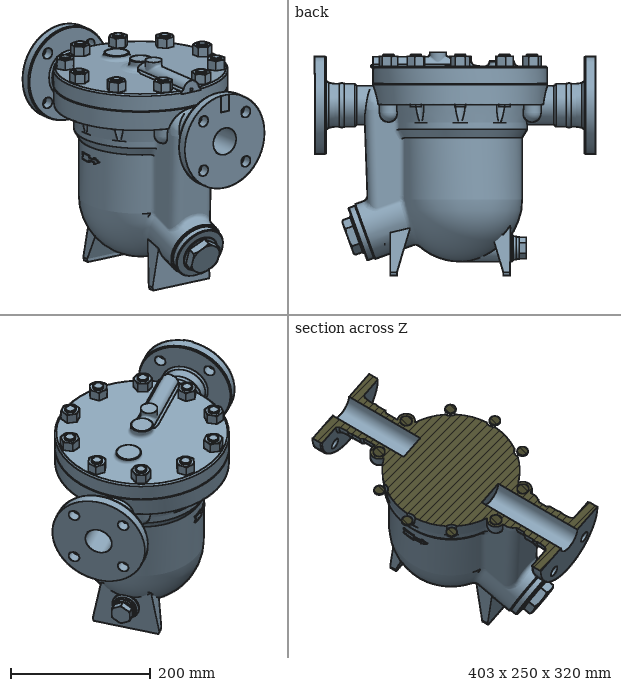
import cadquery as cq
import math


foot_edge_z = 5.0
dome_centre_z = 109.0
shoulder_low_z = 197.3
shoulder_high_z = 209.5
neck_low_z = 219.0
rim_low_z = 245.0
rim_top_z = 273.5
gasket_thickness = 1.5
gasket_diameter = 196.0
cover_low_z = rim_top_z + gasket_thickness
cover_top_z = 300.0
nozzle_z = 244.0

barrel_radius = 89.0
shoulder_radius = 96.0
neck_top_radius = 99.0
rim_radius = 125.0
rim_low_radius_x = 122.2
rim_edge_fillet = 1.5

bolt_count = 10
bolt_circle_radius = 108.0
stud_diameter = 16.0
stud_tip_diameter = 13.84
stud_low_z = rim_low_z - 3.0
stud_top_z = 317.0
nut_top_z = 314.5
nut_across_flats = 24.0
nut_corner_chamfer = 1.5
spotface_diameter = 24.0
pad_diameter = 26.0
pad_centre_z = neck_low_z + 0.8 + pad_diameter / 2

inlet_face_x = -194.0
outlet_face_x = 208.0
flange_diameter = 140.0
flange_thickness = 16.4
flange_chamfer = 2.4
flange_bolt_circle = 105.0
flange_hole_diameter = 16.0
bore_diameter = 40.0
hub_diameter = 62.0
hub_root_diameter = 70.0
neck_diameter = 64.5
pipe_diameter = 56.0
root_end = 20.0
taper_end = 28.3
weld_start = 34.7
weld_end = 42.0
weld_height = 1.0
hub_chamfer_start = 56.6
hub_end = 60.0
bore_wall = 30.0
mark_width = 14.0
mark_height = 25.0
mark_raise = 1.0

strainer_tilt = 20.0
strainer_mouth = (136.0, 0, 63.2)
strainer_diameter = 84.0
strainer_length = 110.0
strainer_fillet = 9.0
plug_seal_diameter = 78.0
plug_seal_thickness = 1.5
plug_diameter = 80.0
plug_head_end = 11.5
plug_edge_chamfer = 1.0
plug_collar_diameter = 56.0
plug_collar_end = 13.5
plug_hex_across_flats = 46.0
plug_hex_end = 26.5
plug_hex_chamfer = 3.0
plug_shank_diameter = 62.0
plug_shank_length = 20.0

riser_half_width = 35.0
riser_start_x = 60.0
riser_low_z = 70.0
riser_arch_z = 237.5
riser_end_x = 137.5
riser_draft = 2.0
riser_end_fillet = 15.0
riser_root_fillet = 8.0

drain_z = 39.6
drain_boss_diameter = 40.0
drain_boss_face_x = -76.0
drain_boss_chamfer = 2.5
drain_spigot_diameter = 34.0
drain_spigot_face_x = -80.0
drain_collar_diameter = 32.0
drain_collar_face_x = -84.3
drain_hex_across_flats = 27.0
drain_hex_face_x = -94.7
drain_hex_chamfer = 1.0
drain_shank_diameter = 24.0
drain_shank_length = 24.0

left_foot_outer_x = -71.4
right_foot_outer_x = 100.4
foot_toe = 10.0
foot_top_z = 75.0
foot_top_thickness = 30.6
foot_base_half_width = 49.0
foot_edge_half_width = 50.3
foot_top_half_width = 37.2

cover_chamfer = 2.5
centre_boss_diameter = 32.0
centre_boss_foot_diameter = 45.0
centre_boss_apron_diameter = 58.0
centre_boss_top_z = 314.0
centre_boss_foot_z = 301.0
side_boss_x = -59.5
side_boss_diameter = 36.0
side_boss_foot_diameter = 48.0
side_boss_top_z = 307.5
boss_edge_chamfer = 1.0
duct_diameter = 26.0
duct_top_z = 313.7
duct_low_z = cover_top_z - 4.0
duct_end_x = 125.0
duct_foot_width = 33.0
duct_foot_height = 3.0
duct_pip_radius = 2.0
vent_boss_x = 32.0
vent_boss_diameter = 24.0
vent_boss_top_z = 320.0
vent_boss_fillet = 3.0

arrow_z = 179.0
arrow_start_x = -21.0
arrow_tip_x = 20.5
arrow_tail_end_x = -0.8
arrow_head_x = 11.0
arrow_notch = 2.5
arrow_half_height = 5.0
arrow_shaft_half_height = 2.0
arrow_raise = 1.5


def cylinder(diameter, start, direction, length):
    """Solid cylinder from a start point along a direction."""
    return cq.Workplane(cq.Solid.makeCylinder(
        diameter / 2, length, cq.Vector(*start), cq.Vector(*direction)))


def chamfered_hex(across_flats, height, chamfer, turn=0.0):
    """Hexagonal prism on the XY plane whose top corners are turned off conically."""
    corner_diameter = across_flats / math.cos(math.pi / 6)
    corner_radius = corner_diameter / 2
    prism = (cq.Workplane("XY").polygon(6, corner_diameter).extrude(height)
             .rotate((0, 0, 0), (0, 0, 1), turn))
    envelope = (cq.Workplane("XY").circle(corner_radius).extrude(height)
                .faces(">Z").chamfer(chamfer * math.tan(math.pi / 6), chamfer))
    return prism.intersect(envelope)


def bolt_positions():
    """Angle and centre of every cover bolt, starting on the +Y axis."""
    for index in range(bolt_count):
        angle = 90 + index * 360 / bolt_count
        direction = math.radians(angle)
        yield angle, bolt_circle_radius * math.cos(direction), bolt_circle_radius * math.sin(direction)


def vessel():
    """Barrel with a hemispherical bottom, a shoulder and a neck."""
    profile = (
        cq.Workplane("XZ")
        .moveTo(0, dome_centre_z - barrel_radius)
        .threePointArc(
            (barrel_radius * math.sin(math.pi / 4), dome_centre_z - barrel_radius * math.cos(math.pi / 4)),
            (barrel_radius, dome_centre_z))
        .lineTo(barrel_radius, shoulder_low_z)
        .lineTo(shoulder_radius, shoulder_high_z)
        .lineTo(shoulder_radius, neck_low_z)
        .lineTo(neck_top_radius, rim_low_z)
        .lineTo(0, rim_low_z)
        .close()
    )
    return profile.revolve(360, (0, 0, 0), (0, 1, 0))


def rim():
    """Bolting rim that narrows along X towards its underside."""
    body = (cq.Workplane("XY", origin=(0, 0, rim_low_z))
            .ellipse(rim_low_radius_x, rim_radius)
            .workplane(offset=rim_top_z - rim_low_z)
            .circle(rim_radius).loft(combine=True))
    return body.faces("<Z").edges().fillet(rim_edge_fillet)


def nozzle(face_x, inward):
    """Flange, welded hub and pipe; the axis runs from the flange face towards the vessel."""
    chamfer_start = flange_thickness - flange_chamfer
    weld_middle = (weld_start + weld_end) / 2
    profile = (
        cq.Workplane("XZ")
        .moveTo(0, 0)
        .lineTo(flange_diameter / 2, 0)
        .lineTo(flange_diameter / 2, chamfer_start)
        .lineTo(flange_diameter / 2 - flange_chamfer / 2, flange_thickness)
        .lineTo(hub_root_diameter / 2, flange_thickness)
        .lineTo(neck_diameter / 2, root_end)
        .lineTo(hub_diameter / 2, taper_end)
        .lineTo(hub_diameter / 2, weld_start)
        .threePointArc((hub_diameter / 2 + weld_height, weld_middle), (hub_diameter / 2, weld_end))
        .lineTo(hub_diameter / 2, hub_chamfer_start)
        .lineTo(pipe_diameter / 2, hub_end)
        .lineTo(pipe_diameter / 2, abs(face_x))
        .lineTo(0, abs(face_x))
        .close()
    )
    body = profile.revolve(360, (0, 0, 0), (0, 1, 0))
    holes = (cq.Workplane("XY").polarArray(flange_bolt_circle / 2, 45, 360, 4)
             .circle(flange_hole_diameter / 2).extrude(flange_thickness))
    return (body.cut(holes)
            .rotate((0, 0, 0), (0, 1, 0), 90 * inward)
            .translate((face_x, 0, nozzle_z)))


def nozzle_bore(face_x, inward):
    """Blind flow bore that stops inside the vessel wall."""
    length = abs(face_x) - neck_top_radius + bore_wall
    return cylinder(bore_diameter, (face_x, 0, nozzle_z), (inward, 0, 0), length)


def flange_mark():
    """Raised mark at the top of the outlet flange face."""
    top_z = nozzle_z + flange_diameter / 2
    block = (cq.Workplane("XY")
             .box(mark_raise, mark_width, mark_height, centered=(False, True, False))
             .translate((outlet_face_x, 0, top_z - mark_height)))
    return block.intersect(
        cylinder(flange_diameter, (outlet_face_x, 0, nozzle_z), (1, 0, 0), mark_raise))


def strainer_direction():
    """Unit vector that points out of the strainer pocket."""
    tilt = math.radians(strainer_tilt)
    return math.cos(tilt), 0, -math.sin(tilt)


def strainer_point(distance):
    """Point on the strainer axis, measured outward from the pocket mouth."""
    return tuple(
        mouth + distance * along for mouth, along in zip(strainer_mouth, strainer_direction()))


def strainer_pocket():
    """Slanted cylinder that ends at the pocket mouth."""
    start = strainer_point(-strainer_length)
    return cylinder(strainer_diameter, start, strainer_direction(), strainer_length)


def riser():
    """Arched passage wall with a drafted and rounded outer end."""
    overlength = 10.0
    body = (
        cq.Workplane("YZ", origin=(riser_start_x, 0, 0))
        .moveTo(-riser_half_width, riser_low_z)
        .lineTo(-riser_half_width, riser_arch_z)
        .threePointArc((0, riser_arch_z + riser_half_width), (riser_half_width, riser_arch_z))
        .lineTo(riser_half_width, riser_low_z)
        .close()
        .extrude(riser_end_x + overlength - riser_start_x)
    )
    cutter_size = 400.0
    cutter = (cq.Workplane("XY")
              .box(cutter_size, cutter_size, cutter_size, centered=(False, True, True))
              .rotate((0, 0, 0), (0, 1, 0), riser_draft)
              .translate((riser_end_x, 0, riser_arch_z)))
    body = body.cut(cutter)
    return body.faces(">X").edges("not <Z").fillet(riser_end_fillet)


def foot(outer_x, inward):
    """Tapered plate foot whose outer face is vertical."""
    side = [
        (outer_x, 0),
        (outer_x + inward * foot_toe, 0),
        (outer_x + inward * foot_toe, foot_edge_z),
        (outer_x + inward * foot_top_thickness, foot_top_z),
        (outer_x, foot_top_z),
    ]
    right_edge = [
        (foot_base_half_width, 0),
        (foot_edge_half_width, foot_edge_z),
        (foot_top_half_width, foot_top_z),
    ]
    left_edge = [(-y, z) for y, z in reversed(right_edge)]
    side_plate = cq.Workplane("XZ").polyline(side).close().extrude(foot_edge_half_width, both=True)
    end_plate = (cq.Workplane("YZ", origin=(outer_x, 0, 0))
                 .polyline(right_edge + left_edge).close().extrude(inward * foot_top_thickness))
    return side_plate.intersect(end_plate)


def drain_boss():
    """Bottom passage boss with a chamfered end and a short spigot that seats the plug."""
    boss = cylinder(drain_boss_diameter, (drain_boss_face_x, 0, drain_z), (1, 0, 0), -drain_boss_face_x)
    spigot_start = (drain_spigot_face_x, 0, drain_z)
    spigot = cylinder(drain_spigot_diameter, spigot_start, (1, 0, 0), -drain_spigot_face_x)
    return boss.faces("<X").chamfer(drain_boss_chamfer).union(spigot)


def bolt_pad(x, y):
    """Round-bottomed pad under the rim."""
    stem = cylinder(pad_diameter, (x, y, pad_centre_z), (0, 0, 1), rim_low_z - pad_centre_z)
    ball = cq.Workplane("XY").sphere(pad_diameter / 2).translate((x, y, pad_centre_z))
    return stem.union(ball)


def flow_arrow():
    """Raised arrow on the -Y side of the barrel, pointing to the outlet."""
    upper = [
        (arrow_start_x, arrow_half_height),
        (arrow_tail_end_x, arrow_half_height),
        (arrow_tail_end_x, arrow_shaft_half_height),
        (arrow_head_x, arrow_shaft_half_height),
        (arrow_head_x, arrow_half_height),
    ]
    lower = [(x, -z) for x, z in reversed(upper)]
    outline = upper + [(arrow_tip_x, 0)] + lower + [(arrow_start_x + arrow_notch, 0)]
    radius = barrel_radius + arrow_raise
    prism = (cq.Workplane("XZ", origin=(0, 0, arrow_z))
             .polyline(outline).close().extrude(radius))
    shell = cylinder(2 * radius, (0, 0, arrow_z - arrow_half_height), (0, 0, 1), 2 * arrow_half_height)
    return prism.intersect(shell)


def vessel_with_strainer_and_riser():
    """Vessel, strainer pocket and riser, blended into one another."""
    vessel_with_strainer = vessel().union(strainer_pocket())
    span = strainer_diameter / 2
    inner_x, _, _ = strainer_point(-strainer_length)
    joint = vessel_with_strainer.edges(cq.selectors.BoxSelector(
        (inner_x, -span, 0), (barrel_radius, span, dome_centre_z + span)))
    arcs = [edge for edge in joint.vals() if edge.geomType() == "BSPLINE"]
    body = vessel_with_strainer.newObject(arcs).fillet(strainer_fillet)

    body = body.union(riser())
    gap = 1.0
    sides = [
        cq.selectors.BoxSelector(
            (riser_start_x, wall_y - gap, dome_centre_z - gap), (shoulder_radius, wall_y + gap, rim_low_z))
        for wall_y in (-riser_half_width, riser_half_width)
    ]
    return body.edges(sides[0] + sides[1]).fillet(riser_root_fillet)


def build_housing():
    """Vessel with rim, nozzles, drain boss, feet and all holes."""
    body = vessel_with_strainer_and_riser()
    body = body.union(rim())
    for _, x, y in bolt_positions():
        if abs(x) < abs(y):
            body = body.cut(cylinder(
                spotface_diameter, (x, y, neck_low_z), (0, 0, 1), rim_low_z - neck_low_z))
    body = body.union(nozzle(inlet_face_x, 1)).union(nozzle(outlet_face_x, -1))
    body = body.union(drain_boss())
    body = body.union(foot(left_foot_outer_x, 1)).union(foot(right_foot_outer_x, -1))
    for _, x, y in bolt_positions():
        if abs(x) > abs(y):
            body = body.union(bolt_pad(x, y))
    body = body.union(flow_arrow()).union(flange_mark())
    body = body.cut(nozzle_bore(inlet_face_x, 1)).cut(nozzle_bore(outlet_face_x, -1))
    for _, x, y in bolt_positions():
        body = body.cut(cylinder(stud_diameter, (x, y, stud_low_z), (0, 0, 1), rim_top_z - stud_low_z))
    body = body.cut(cylinder(
        plug_shank_diameter, strainer_point(-plug_shank_length), strainer_direction(), plug_shank_length))
    return body.cut(cylinder(
        drain_shank_diameter, (drain_spigot_face_x, 0, drain_z), (1, 0, 0), drain_shank_length))


def centre_boss():
    """Boss on the cover axis with a flared foot and a low conical apron."""
    top_radius = centre_boss_diameter / 2
    foot_radius = centre_boss_foot_diameter / 2
    flare = foot_radius - top_radius
    profile = (
        cq.Workplane("XZ")
        .moveTo(0, cover_top_z)
        .lineTo(centre_boss_apron_diameter / 2, cover_top_z)
        .lineTo(foot_radius, centre_boss_foot_z)
        .radiusArc((top_radius, centre_boss_foot_z + flare), flare)
        .lineTo(top_radius, centre_boss_top_z - boss_edge_chamfer)
        .lineTo(top_radius - boss_edge_chamfer, centre_boss_top_z)
        .lineTo(0, centre_boss_top_z)
        .close()
    )
    return profile.revolve(360, (0, 0, 0), (0, 1, 0))


def side_boss():
    """Low boss beside the centre boss with a filleted foot."""
    top_radius = side_boss_diameter / 2
    foot_radius = side_boss_foot_diameter / 2
    flare = foot_radius - top_radius
    profile = (
        cq.Workplane("XZ")
        .moveTo(0, cover_top_z)
        .lineTo(foot_radius, cover_top_z)
        .radiusArc((top_radius, cover_top_z + flare), flare)
        .lineTo(top_radius, side_boss_top_z - boss_edge_chamfer)
        .lineTo(top_radius - boss_edge_chamfer, side_boss_top_z)
        .lineTo(0, side_boss_top_z)
        .close()
    )
    return profile.revolve(360, (0, 0, 0), (0, 1, 0)).translate((side_boss_x, 0, 0))


def duct():
    """Round-topped duct with sloping foot strips and a vent boss, from the axis to the cover edge."""
    radius = duct_diameter / 2
    half_foot = duct_foot_width / 2
    foot_z = cover_top_z + duct_foot_height
    body = (
        cq.Workplane("YZ")
        .moveTo(-half_foot, duct_low_z)
        .lineTo(-half_foot, cover_top_z)
        .lineTo(-radius, foot_z)
        .threePointArc((0, duct_top_z), (radius, foot_z))
        .lineTo(half_foot, cover_top_z)
        .lineTo(half_foot, duct_low_z)
        .close()
        .extrude(duct_end_x)
    )
    vent_boss = cylinder(
        vent_boss_diameter, (vent_boss_x, 0, foot_z), (0, 0, 1), vent_boss_top_z - foot_z)
    body = body.union(vent_boss)
    joint = [edge for edge in body.edges().vals() if edge.geomType() == "BSPLINE"]
    body = body.newObject(joint).fillet(vent_boss_fillet)
    pip_x = duct_end_x + duct_pip_radius / 2
    pip = cq.Workplane("XY").sphere(duct_pip_radius).translate((pip_x, 0, cover_top_z))
    return body.union(pip)


def build_cover():
    """Cover disc with its bosses, duct, studs and nuts."""
    body = (cq.Workplane("XY", origin=(0, 0, cover_low_z)).circle(rim_radius)
            .extrude(cover_top_z - cover_low_z).faces(">Z").chamfer(cover_chamfer))
    body = body.union(centre_boss()).union(side_boss())
    body = body.union(duct())
    for angle, x, y in bolt_positions():
        stud = (cylinder(stud_diameter, (x, y, stud_low_z), (0, 0, 1), stud_top_z - stud_low_z)
                .faces(">Z").chamfer((stud_diameter - stud_tip_diameter) / 2))
        nut = (chamfered_hex(nut_across_flats, nut_top_z - cover_top_z, nut_corner_chamfer, angle + 30)
               .translate((x, y, cover_top_z)))
        body = body.union(stud).union(nut)
    return body


def build_gasket():
    """Flat disc inside the bolt circle, between the rim and the cover."""
    return cylinder(gasket_diameter, (0, 0, rim_top_z), (0, 0, 1), gasket_thickness)


def build_strainer_plug():
    """Hexagon-headed plug, built along +Z and laid on the strainer axis."""
    body = cylinder(plug_shank_diameter, (0, 0, -plug_shank_length), (0, 0, 1), plug_shank_length)
    body = body.union(cylinder(plug_seal_diameter, (0, 0, 0), (0, 0, 1), plug_seal_thickness))
    head_length = plug_head_end - plug_seal_thickness
    head = cylinder(plug_diameter, (0, 0, plug_seal_thickness), (0, 0, 1), head_length)
    body = body.union(head.faces(">Z").chamfer(plug_edge_chamfer))
    body = body.union(cylinder(
        plug_collar_diameter, (0, 0, plug_head_end), (0, 0, 1), plug_collar_end - plug_head_end))
    hexagon = chamfered_hex(
        plug_hex_across_flats, plug_hex_end - plug_collar_end, plug_hex_chamfer)
    body = body.union(hexagon.translate((0, 0, plug_collar_end)))
    return body.rotate((0, 0, 0), (0, 1, 0), 90 + strainer_tilt).translate(strainer_mouth)


def build_drain_plug():
    """Hexagon-headed plug with a round collar, built along +Z and turned to face -X."""
    collar_end = drain_spigot_face_x - drain_collar_face_x
    body = cylinder(drain_shank_diameter, (0, 0, -drain_shank_length), (0, 0, 1), drain_shank_length)
    body = body.union(cylinder(drain_collar_diameter, (0, 0, 0), (0, 0, 1), collar_end))
    hexagon = chamfered_hex(
        drain_hex_across_flats, drain_collar_face_x - drain_hex_face_x, drain_hex_chamfer)
    body = body.union(hexagon.translate((0, 0, collar_end)))
    return body.rotate((0, 0, 0), (0, 1, 0), -90).translate((drain_spigot_face_x, 0, drain_z))


housing = build_housing()
cover = build_cover()
gasket = build_gasket()
strainer_plug = build_strainer_plug()
drain_plug = build_drain_plug()

result = cq.Compound.makeCompound(
    [housing.val(), cover.val(), gasket.val(), strainer_plug.val(), drain_plug.val()])